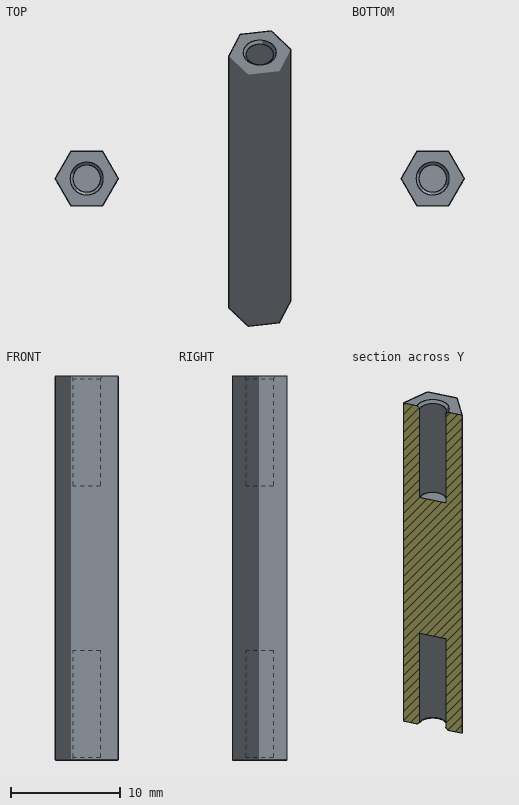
import cadquery as cq
import math

length = 35.0
across_flats = 5.0
across_corners = across_flats / math.cos(math.radians(30))
edge_radius = 0.1

bore_diameter = 2.5
mouth_diameter = 3.0
bore_depth = 10.0
mouth_depth = (mouth_diameter - bore_diameter) / 2


def make_body():
    """Hexagonal bar with corners on the X axis and all edges rounded."""
    bar = cq.Workplane("XY").polygon(6, across_corners).extrude(length)
    return bar.edges().fillet(edge_radius)


def cut_bore(body, end_face):
    """Sink a flat-bottomed countersunk bore into one end face."""
    bored = body.faces(end_face).workplane().hole(bore_diameter, bore_depth)
    mouth_edge = bored.faces(end_face).edges("%CIRCLE").edges(cq.selectors.RadiusNthSelector(-1))
    return mouth_edge.chamfer(mouth_depth)


result = make_body()
for end_face in (">Z", "<Z"):
    result = cut_bore(result, end_face)